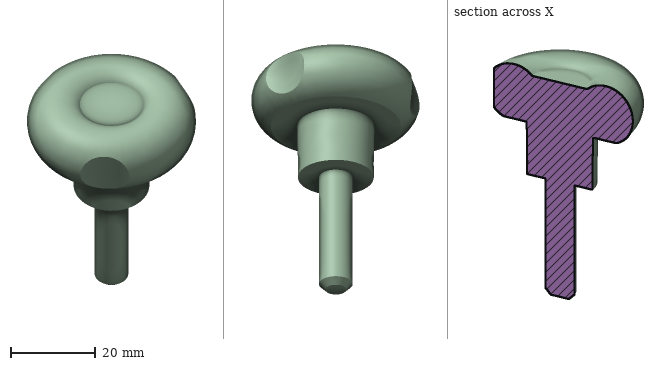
import cadquery as cq
import math

total_height = 58.0

stud_diameter = 8.0
stud_length = 30.0
stud_chamfer = 1.5

hub_bottom_radius = 9.0
hub_top_radius = 9.15

grip_radius = 20.0
ring_section_radius = 7.5
dish_radius = 7.5
grip_bottom_z = 43.6

scallop_count = 3
scallop_radius = 15.0
scallop_floor_distance = 18.0
first_scallop_angle = 90.0

ring_center_radius = grip_radius - ring_section_radius
ring_center_z = total_height - ring_section_radius


def half_chord(offset):
    """Half length of the ring section's chord at a given distance from its centre."""
    return math.sqrt(ring_section_radius**2 - offset**2)


def make_stud():
    stud = cq.Workplane("XY").circle(stud_diameter / 2).extrude(stud_length)
    return stud.faces("<Z").chamfer(stud_chamfer)


def make_hub():
    profile = [
        (0, stud_length),
        (hub_bottom_radius, stud_length),
        (hub_top_radius, grip_bottom_z),
        (0, grip_bottom_z),
    ]
    return cq.Workplane("XZ").polyline(profile).close().revolve(360, (0, 0), (0, 1))


def make_grip():
    underside_radius = ring_center_radius + half_chord(ring_center_z - grip_bottom_z)
    dish_z = ring_center_z + half_chord(ring_center_radius - dish_radius)
    return (
        cq.Workplane("XZ")
        .moveTo(0, grip_bottom_z)
        .lineTo(underside_radius, grip_bottom_z)
        .threePointArc((ring_center_radius, total_height), (dish_radius, dish_z))
        .lineTo(0, dish_z)
        .close()
        .revolve(360, (0, 0), (0, 1))
    )


def make_scallops():
    return (
        cq.Workplane("XY")
        .workplane(offset=grip_bottom_z)
        .polarArray(
            scallop_floor_distance + scallop_radius,
            first_scallop_angle,
            360,
            scallop_count,
        )
        .circle(scallop_radius)
        .extrude(total_height - grip_bottom_z)
    )


grip = make_grip().cut(make_scallops())
result = make_stud().union(make_hub()).union(grip)